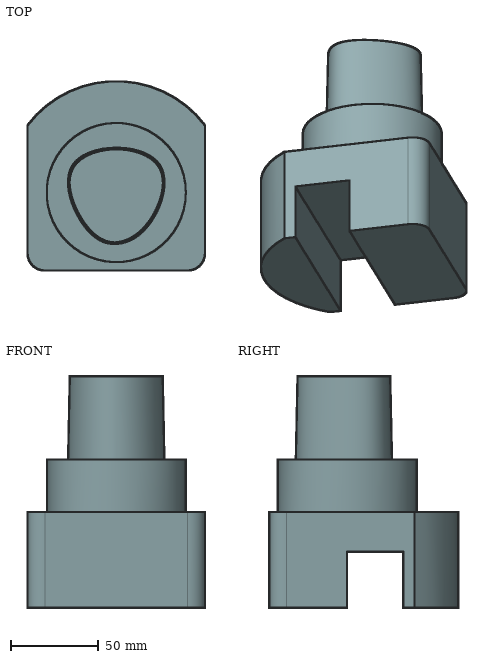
import cadquery as cq
import math

base_width = 102.0
base_depth = 108.8
base_height = 55.0
front_y = -44.8
back_radius = base_depth + front_y
corner_radius = 10.0

slot_front_y = 0.0
slot_width = 32.2
slot_height = 32.2

collar_diameter = 79.9
collar_top = 85.3

total_height = 133.0
lobe_reach = 29.5
side_reach = 25.8
knob_inset = 1.0


def polar(radius, degrees):
    angle = math.radians(degrees)
    return (radius * math.cos(angle), radius * math.sin(angle))


def make_base():
    half_width = base_width / 2
    shoulder_y = math.sqrt(back_radius**2 - half_width**2)
    outline = (
        cq.Workplane("XY")
        .moveTo(-half_width, front_y)
        .lineTo(half_width, front_y)
        .lineTo(half_width, shoulder_y)
        .threePointArc((0, back_radius), (-half_width, shoulder_y))
        .close()
    )
    block = outline.extrude(base_height).edges("|Z and <Y").fillet(corner_radius)
    slot = (
        cq.Workplane("XY")
        .box(base_width, slot_width, slot_height, centered=(True, False, False))
        .translate((0, slot_front_y, 0))
    )
    return block.cut(slot)


def make_collar():
    collar = cq.Workplane("XY").workplane(offset=base_height)
    return collar.circle(collar_diameter / 2).extrude(collar_top - base_height)


def lobed_wire(inset, height):
    points = []
    for lobe_angle in (-90, 30, 150):
        points.append(cq.Vector(*polar(lobe_reach - inset, lobe_angle), height))
        points.append(cq.Vector(*polar(side_reach - inset, lobe_angle + 60), height))
    return cq.Wire.assembleEdges([cq.Edge.makeSpline(points, periodic=True)])


def make_knob():
    bottom = lobed_wire(0, collar_top)
    top = lobed_wire(knob_inset, total_height)
    return cq.Workplane(cq.Solid.makeLoft([bottom, top], True))


result = make_base().union(make_collar()).union(make_knob())